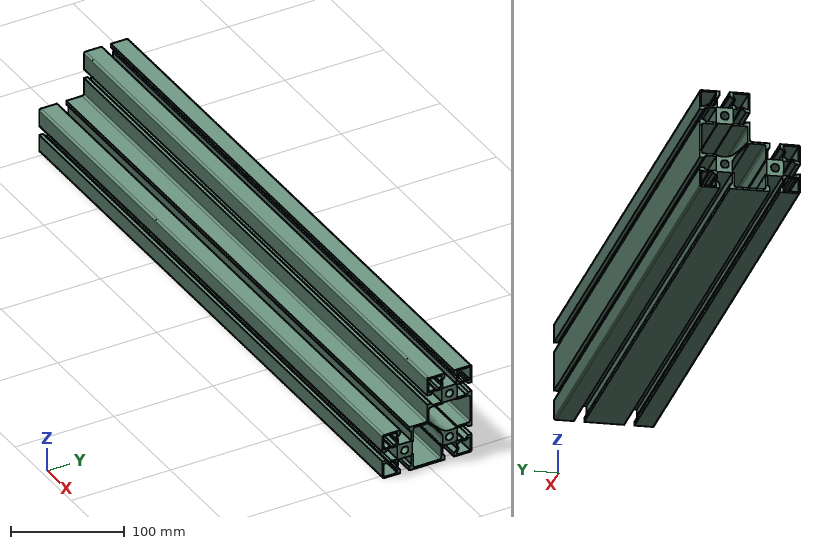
import cadquery as cq
import math

LENGTH = 609.5
SIDE = 90.0
LEG = SIDE / 2
CENTRE = LEG / 2
FAR_CENTRE = LEG + CENTRE
CHAMBER_WALL = 2.0
TUBE_WALL = 1.5
LIP_WALL = 2 * TUBE_WALL
WEB_THICKNESS = 1.0
WEB_END_THICKNESS = 2.0
CORNER_RADIUS = 2.0
CHAMBER_RADIUS = 2.0

MOUTH_HALF = 4.6
LIP_DEPTH = 3.5
VEE_HALF = 8.0
VEE_DEPTH = 7.5
THROAT_HALF = 7.0
THROAT_DEPTH = 9.0
CORE_SIZE = 15.0
CORE_START = CENTRE - CORE_SIZE / 2
CORE_END = CENTRE + CORE_SIZE / 2
BORE_DIAMETER = 7.5
CORE_DIP = 0.9
CORE_DIP_SLOPE = 0.4

TUBE_LIP_END = CENTRE - MOUTH_HALF - LIP_WALL
TUBE_VEE = CENTRE - VEE_HALF - TUBE_WALL
TUBE_INNER = CENTRE - THROAT_HALF - TUBE_WALL
TUBE_CORNER_CUT = 2.5

SECTION = cq.Plane(
    origin=(LENGTH / 2, SIDE / 2, -SIDE / 2),
    xDir=(0, -1, 0),
    normal=(-1, 0, 0),
)


def prism(points):
    """Full-length prism over a closed (u, v) outline."""
    return cq.Workplane(SECTION).polyline(points).close().extrude(LENGTH)


def swap(points):
    """Mirror an outline across the diagonal of the L."""
    return [(v, u) for u, v in points]


def round_edges(solid, points, radius):
    """Fillet the long edges that pass through the given (u, v) points."""
    picked = solid.newObject([])
    for u, v in points:
        middle = SECTION.toWorldCoords((u, v, LENGTH / 2)).toTuple()
        picked = picked.add(solid.edges(cq.selectors.NearestToPointSelector(middle)))
    return picked.fillet(radius)


def slot_side(against_tube):
    """Half of a slot outline as (offset from slot centre, depth), from mouth to bottom."""
    mouth = [(MOUTH_HALF, 0), (MOUTH_HALF, LIP_DEPTH)]
    if against_tube:
        flank = [(VEE_HALF, VEE_DEPTH), (THROAT_HALF, THROAT_DEPTH)]
    else:
        flank = [(THROAT_HALF, LIP_DEPTH + THROAT_HALF - MOUTH_HALF)]
    return mouth + flank + [(THROAT_HALF, CORE_START)]


def slot(centre_u, face_v, inward, tube_before, tube_after):
    """Slot outline entering a horizontal face.

    The flags tell whether a corner tube, or else a chamber, borders each side along u.
    """
    before = [(centre_u - offset, face_v + inward * depth) for offset, depth in slot_side(tube_before)]
    after = [(centre_u + offset, face_v + inward * depth) for offset, depth in slot_side(tube_after)]
    return before + after[::-1]


def tube_hollow(corner_u, corner_v, dir_u, dir_v):
    """Hollow of a corner tube, with walls that follow the vees of both slots."""
    half_outline = [
        (TUBE_LIP_END, TUBE_WALL),
        (TUBE_LIP_END, LIP_DEPTH),
        (TUBE_VEE, VEE_DEPTH),
        (TUBE_INNER, THROAT_DEPTH),
        (TUBE_INNER, TUBE_INNER - TUBE_CORNER_CUT),
    ]
    outline = [(TUBE_WALL, TUBE_WALL)] + half_outline + swap(half_outline)[::-1]
    return [(corner_u + dir_u * a, corner_v + dir_v * b) for a, b in outline]


def chamber(mirror):
    """Large hollow of one leg, closed by a smooth curve over the core and along the web."""
    floor = CENTRE + THROAT_HALF + CHAMBER_WALL
    ceiling = FAR_CENTRE - THROAT_HALF - CHAMBER_WALL
    ceiling_core = LEG + CORE_START
    inner_wall = LEG - CHAMBER_WALL
    web_middle = (CORE_END + inner_wall) / 2
    web_shift = WEB_THICKNESS / 2 / math.sqrt(2)
    end_gap = WEB_END_THICKNESS / math.sqrt(2)

    rounded_corners = [(inner_wall, ceiling), (CHAMBER_WALL, ceiling), (CHAMBER_WALL, floor)]
    outline = [
        (inner_wall, inner_wall + end_gap),
        (inner_wall, ceiling),
        (CENTRE + THROAT_HALF, ceiling),
        (CENTRE + THROAT_HALF, ceiling_core),
        (CENTRE - THROAT_HALF, ceiling_core),
        (CENTRE - THROAT_HALF, ceiling),
        (CHAMBER_WALL, ceiling),
        (CHAMBER_WALL, floor),
        (CORE_START, floor),
        (CORE_START, CORE_END),
    ]
    curve = [(CENTRE, CORE_END - CORE_DIP), (web_middle - web_shift, web_middle + web_shift), outline[0]]
    tangents = [(1, -CORE_DIP_SLOPE), (1, 0), (1, 1), (1, 1)]
    if mirror:
        rounded_corners, outline, curve, tangents = map(swap, (rounded_corners, outline, curve, tangents))

    section = cq.Workplane(SECTION).polyline(outline)
    hollow = section.spline(curve, tangents=tangents, includeCurrent=True).close().extrude(LENGTH)
    return round_edges(hollow, rounded_corners, CHAMBER_RADIUS)


corners = [(0, 0), (SIDE, 0), (SIDE, LEG), (LEG, LEG), (LEG, SIDE), (0, SIDE)]
body = prism(corners).edges("|X").fillet(CORNER_RADIUS)

horizontal_face_slots = [
    slot(CENTRE, 0, 1, True, False),
    slot(FAR_CENTRE, 0, 1, False, True),
    slot(FAR_CENTRE, LEG, -1, False, True),
    slot(CENTRE, SIDE, -1, True, True),
]
slots = horizontal_face_slots + [swap(outline) for outline in horizontal_face_slots]
for outline in slots:
    body = body.cut(prism(outline))

tubes = [
    tube_hollow(0, 0, 1, 1),
    tube_hollow(0, SIDE, 1, -1),
    tube_hollow(LEG, SIDE, -1, -1),
    tube_hollow(SIDE, 0, -1, 1),
    tube_hollow(SIDE, LEG, -1, -1),
]
for outline in tubes:
    body = body.cut(prism(outline))

body = body.cut(chamber(mirror=False)).cut(chamber(mirror=True))

bore_centres = [(CENTRE, CENTRE), (CENTRE, FAR_CENTRE), (FAR_CENTRE, CENTRE)]
bores = cq.Workplane(SECTION).pushPoints(bore_centres).circle(BORE_DIAMETER / 2).extrude(LENGTH)
result = body.cut(bores)